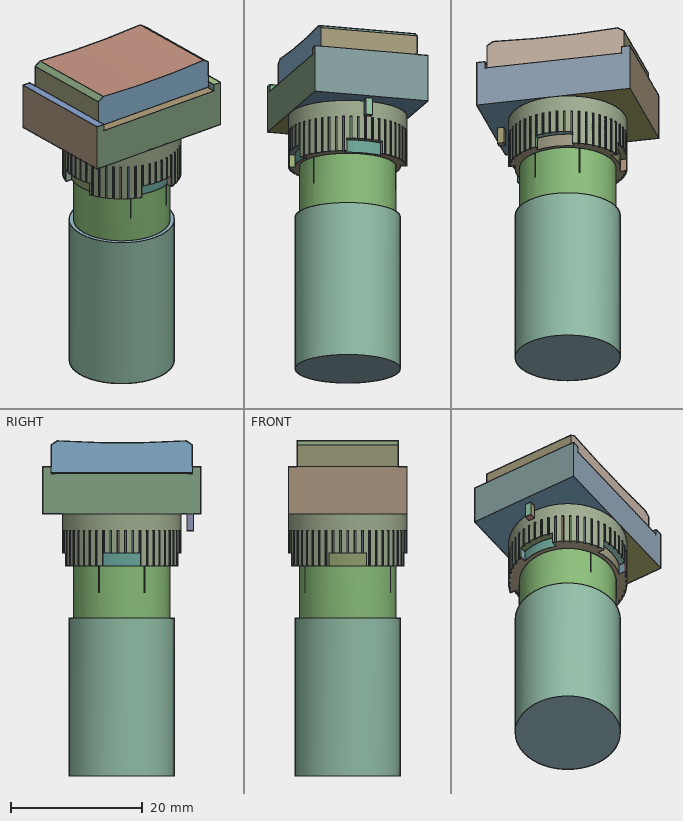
import cadquery as cq

total_height = 50.9

barrel_top = 23.95
latch_bottom = 27.85
collar_bottom = 31.9
collar_notch_top = 33.85
collar_groove_top = 37.3
bezel_bottom = 39.8
bezel_ledge = 45.9
bezel_top = 47.0

barrel_diameter = 16.0
neck_diameter = 14.7
collar_diameter = 18.0
collar_sleeve_diameter = 16.0
groove_count = 50
groove_width = 0.25
groove_depth = 0.2
notch_width = 5.7
latch_length = 13.05
latch_width = 7.0

bezel_length_x = 18.0
bezel_length_y = 24.0
cap_length_x = 15.35
cap_length_y = 21.45
cap_bevel_run = 0.95
cap_bevel_drop = 0.6
cap_dish_depth = 0.3
cap_gap = 0.15
cap_stem_inset = 0.5

peg_size = 1.0
peg_length = 2.6
peg_offset_y = 10.4


def cylinder(diameter, bottom, top):
    return cq.Workplane("XY").workplane(offset=bottom).circle(diameter / 2).extrude(top - bottom)


def block(length_x, length_y, bottom, top):
    return cq.Workplane("XY").workplane(offset=bottom).rect(length_x, length_y).extrude(top - bottom)


def make_collar():
    """Grooved ring with four bottom notches that go in as far as an inner sleeve."""
    ring = cylinder(collar_diameter, collar_bottom, bezel_bottom)

    grooves = (
        cq.Workplane("XY")
        .workplane(offset=collar_bottom)
        .polarArray(collar_diameter / 2, -90, 360, groove_count)
        .rect(2 * groove_depth, groove_width)
        .extrude(collar_groove_top - collar_bottom)
    )
    ring = ring.cut(grooves)

    notch_span = 2 * collar_diameter
    notches = block(notch_span, notch_width, collar_bottom, collar_notch_top).union(
        block(notch_width, notch_span, collar_bottom, collar_notch_top)
    )
    sleeve = cylinder(collar_sleeve_diameter, collar_bottom, collar_notch_top)
    return ring.cut(notches).union(sleeve)


def make_bezel():
    """Rectangular frame whose long sides are lowered between two end walls."""
    frame = block(bezel_length_x, bezel_length_y, bezel_bottom, bezel_top)
    lowered_sides = block(bezel_length_x, cap_length_y, bezel_ledge, bezel_top)
    return frame.cut(lowered_sides)


def make_cap():
    """Button cap with bevelled ends and a dished top, carried by a stem just above the ledge."""
    half_y = cap_length_y / 2
    crest_y = half_y - cap_bevel_run
    shoulder_z = total_height - cap_bevel_drop
    cap_bottom = bezel_ledge + cap_gap
    cap = (
        cq.Workplane("YZ")
        .moveTo(-half_y, cap_bottom)
        .lineTo(-half_y, shoulder_z)
        .lineTo(-crest_y, total_height)
        .threePointArc((0, total_height - cap_dish_depth), (crest_y, total_height))
        .lineTo(half_y, shoulder_z)
        .lineTo(half_y, cap_bottom)
        .close()
        .extrude(cap_length_x / 2, both=True)
    )
    stem_length_x = cap_length_x - 2 * cap_stem_inset
    stem_length_y = cap_length_y - 2 * cap_stem_inset
    stem = block(stem_length_x, stem_length_y, bezel_ledge, cap_bottom)
    return cap.union(stem)


barrel = cylinder(barrel_diameter, 0, barrel_top)
neck = cylinder(neck_diameter, barrel_top, collar_bottom)

latch = block(latch_length, latch_width, latch_bottom, collar_bottom)

peg = block(peg_size, peg_size, bezel_bottom - peg_length, bezel_bottom).translate((0, peg_offset_y, 0))
result = (
    barrel.union(neck)
    .union(latch)
    .union(make_collar())
    .union(make_bezel())
    .union(make_cap())
    .union(peg)
)